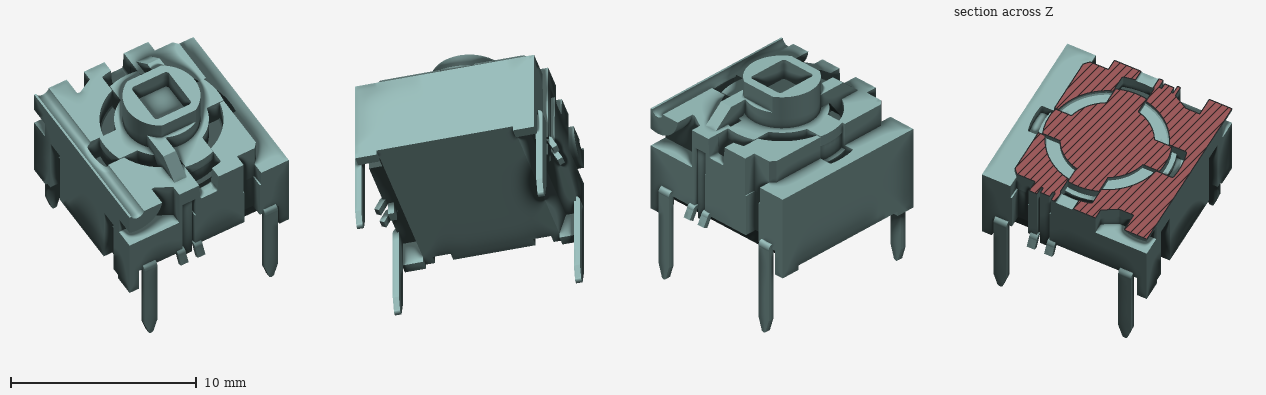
import cadquery as cq


body_size = 10.0
half = body_size / 2
body_top = 6.39
rear_step_z = 5.03
rear_step_y = 3.54
foot_height = 0.28
foot_x = 3.81
foot_y = 4.4
undercut_z = 1.51
base_top_x = 4.18

notch_depth = 0.7
notch_lower_depth = 0.74
notch_x = half - notch_depth
notch_y = (2.21, 3.18)
notch_wide_y = (2.16, 3.27)
ledge_z = 4.02
block_chamfer = (0.31, 0.27)

corner_y = -1.88
corner_slant_y = -2.77
corner_outer_x = 4.38
corner_inner_x = 3.88
roll_radius = 1.54
roll_z = 6.55
groove_radius = 0.4
groove_z = 6.46
roll_y = -4.49
front_slot_x = (2.3, 3.32)
front_slot_shelf_z = 2.51
front_slot_depth = 1.01
front_shelf_depth = 0.53

opening_radius = 3.34
opening_floor_chamfer = 0.07
opening_floor = 5.04
rotor_top = 6.43
rotor_radius = 2.56
wing_sides = (-0.6, 1.22)
wing_rim_radius = 3.59
wing_neck_radius = 3.53
wing_foot_radius = 3.8
wing_rim_z = 5.8
wing_foot_z = 4.79
wing_pocket_radius = 4.35
wing_pocket_sides = (-0.63, 1.24)
wing_pocket_floor = 4.42
wing_pocket_fillet = 0.1
window_floor = 5.21
window_y = (-0.59, 0.63)
window_taper = 0.07
window_fillet = 0.12

button_diameter = 4.2
button_top = 8.41
flat_bottom = 7.4
flat_distance = 1.81
socket_x = 2.6
socket_y = 2.3
socket_depth = 1.23
socket_fillet = 0.2

arm_y = (0.9, 1.67)
arm_bottom = 5.38
arm_gap_z = 6.56
arm_slope_start = 4.15
arm_slope_end = 2.99
arm_gap_x = 1.97
arm_overlap = 0.07
arm_gap_end_x = 2.81
overall_x = 10.95
slot_depth = 0.52
bar_recess = 0.17
slot_wide_y = (0.84, 1.66)
bar_y = (0.98, 1.57)
bar_bottom = 0.84
tab_y = ((0.52, bar_y[0]), (bar_y[1], 2.04))
tab_tip_x = overall_x / 2
tab_tip_z = 0.97
tab_bend_x = 5.21
tab_bend_z = 1.46
tab_top = 1.68
tab_root_x = 4.79
tab_arc_x = 0.06
tab_arc_z = 0.12

pin_tip_z = -3.88
pin_shoulder_z = -3.0
pin_y = 3.79
pin_width = 0.79
pin_outer_x = 5.24
pin_inner_x = 4.89
pin_top = 1.82
pin_bend_z = 1.46
pin_arc_x = 0.06
pin_arc_z = 0.11
pin_root_x = 4.49
pin_nose = 0.17
pin_nose_height = 0.17


def box(x, y, z):
    """Box between the limits given for each axis."""
    size = (x[1] - x[0], y[1] - y[0], z[1] - z[0])
    return cq.Workplane("XY").box(*size, centered=False).translate((x[0], y[0], z[0]))


def disc(radius, bottom, top):
    return cq.Workplane("XY").workplane(offset=bottom).circle(radius).extrude(top - bottom)


def prism_xz(outline, y):
    """Closed XZ wire swept along Y between the two limits."""
    return outline.close().extrude(y[0] - y[1]).translate((0, y[0], 0))


def both_sides(shape):
    """The shape and its mirror image in X."""
    return shape.union(shape.mirror("YZ"))


def half_turn(shape):
    """The shape and its copy turned half a turn about the button axis."""
    return shape.union(shape.rotate((0, 0, 0), (0, 0, 1), 180))


def quarter_turns(shape):
    ring = shape
    for turn in (90, 180, 270):
        ring = ring.union(shape.rotate((0, 0, 0), (0, 0, 1), turn))
    return ring


def raised_block_cut():
    """Material removed above the rear ledge, leaving chamfered block corners."""
    cut = (
        cq.Workplane("XY").workplane(offset=rear_step_z)
        .moveTo(-half, half)
        .lineTo(-half, notch_y[1])
        .lineTo(-notch_x, notch_y[1])
        .lineTo(-notch_x, rear_step_y - block_chamfer[1])
        .lineTo(-notch_x + block_chamfer[0], rear_step_y)
        .lineTo(0, rear_step_y)
        .lineTo(0, half)
        .close()
        .extrude(body_top - rear_step_z)
    )
    return both_sides(cut)


def side_notches():
    notch = box((-half, -half + notch_lower_depth), notch_y, (undercut_z, ledge_z))
    notch = notch.union(box((-half, -notch_x), notch_wide_y, (ledge_z, body_top)))
    return both_sides(notch)


def side_undercuts():
    """Overhang below each side wall, with the base leaning inward under it."""
    cut = (
        cq.Workplane("XZ")
        .moveTo(-half, undercut_z)
        .lineTo(-base_top_x, undercut_z)
        .lineTo(-foot_x, foot_height)
        .lineTo(-half, foot_height)
    )
    return both_sides(prism_xz(cut, (-foot_y, foot_y)))


def underside_recess():
    recess = box((-foot_x, foot_x), (-half, half), (0, foot_height))
    return recess.union(box((-half, half), (-foot_y, foot_y), (0, foot_height)))


def corner_recesses():
    """Front corner pockets, each leaving the end of the front roll standing."""
    pocket = (
        cq.Workplane("XY").workplane(offset=ledge_z)
        .moveTo(-half, corner_y)
        .lineTo(-corner_outer_x, corner_y)
        .lineTo(-corner_inner_x, corner_slant_y)
        .lineTo(-corner_inner_x, -half)
        .lineTo(-half, -half)
        .close()
        .extrude(body_top - ledge_z)
    )
    roll = cq.Workplane("YZ").center(roll_y, roll_z).circle(roll_radius).extrude(half, both=True)
    return both_sides(pocket).cut(roll)


def front_groove():
    return cq.Workplane("YZ").center(roll_y, groove_z).circle(groove_radius).extrude(half, both=True)


def front_slots():
    shelf = (-half, -half + front_shelf_depth)
    deep = (-half, -half + front_slot_depth)
    slot = box(front_slot_x, shelf, (0, front_slot_shelf_z))
    slot = slot.union(box(front_slot_x, deep, (front_slot_shelf_z, ledge_z)))
    return both_sides(slot)


def rotor_opening():
    """Round opening with a chamfered floor edge, four wing pockets and two side windows."""
    opening = disc(opening_radius, opening_floor, body_top)
    opening = opening.faces("<Z").chamfer(opening_floor_chamfer)
    pocket = box((0, half), wing_pocket_sides, (wing_pocket_floor, body_top))
    pocket = pocket.intersect(disc(wing_pocket_radius, wing_pocket_floor, body_top))
    pocket = pocket.edges("|Z and (not <X)").fillet(wing_pocket_fillet)
    window = (
        cq.Workplane("YZ")
        .moveTo(window_y[0], body_top)
        .lineTo(window_y[0] + window_taper, window_floor)
        .lineTo(window_y[1] - window_taper, window_floor)
        .lineTo(window_y[1], body_top)
        .close()
        .extrude(opening_radius - half)
        .translate((-opening_radius, 0, 0))
    )
    window = window.edges("|X and <Z").fillet(window_fillet)
    return opening.union(quarter_turns(pocket)).union(half_turn(window))


def terminal_slots():
    side = (-half, -half + slot_depth)
    slot = box(side, arm_y, (undercut_z, arm_bottom))
    return half_turn(slot.union(box(side, slot_wide_y, (ledge_z, arm_bottom))))


def wing():
    """One wing pointing along +X: wide rim, narrower neck and a low foot."""
    levels = (
        (wing_foot_radius, wing_pocket_floor, wing_foot_z),
        (wing_neck_radius, wing_foot_z, wing_rim_z),
        (wing_rim_radius, wing_rim_z, rotor_top),
    )
    tiers = disc(rotor_radius, wing_pocket_floor, rotor_top)
    for radius, bottom, top in levels:
        tiers = tiers.union(disc(radius, bottom, top))
    return tiers.intersect(box((0, half), wing_sides, (wing_pocket_floor, rotor_top)))


def button():
    shape = disc(button_diameter / 2, opening_floor, button_top)
    flat = box((flat_distance, half), (-half, half), (flat_bottom, button_top))
    socket = cq.Workplane("XY").workplane(offset=button_top - socket_depth)
    socket = socket.rect(socket_x, socket_y).extrude(socket_depth)
    socket = socket.edges("|Z").fillet(socket_fillet)
    return shape.cut(both_sides(flat)).cut(socket)


def contact_arms():
    arm = (
        cq.Workplane("XZ")
        .moveTo(-half, arm_bottom)
        .lineTo(-half, body_top)
        .lineTo(-arm_slope_start, body_top)
        .lineTo(-arm_slope_end, flat_bottom)
        .lineTo(0, flat_bottom)
        .lineTo(0, arm_gap_z)
        .lineTo(-arm_gap_x, arm_gap_z)
        .lineTo(-arm_gap_end_x, arm_bottom)
    )
    arm = prism_xz(arm, arm_y).cut(disc(button_diameter / 2 - arm_overlap, arm_gap_z, flat_bottom))
    return half_turn(arm)


def terminals():
    """Recessed vertical bar with a splayed tab on each side of it."""
    shape = box((-half + bar_recess, -half + slot_depth), bar_y, (bar_bottom, arm_bottom))
    lean = (tab_tip_x - tab_bend_x) / (tab_bend_z - tab_tip_z)
    heel_z = tab_tip_z - (tab_tip_x - tab_bend_x) * lean
    root_z = heel_z + (tab_bend_x - tab_root_x) / lean
    for limits in tab_y:
        tab = (
            cq.Workplane("XZ")
            .moveTo(-tab_root_x, tab_top)
            .lineTo(-half, tab_top)
            .threePointArc((-tab_bend_x + tab_arc_x, tab_bend_z + tab_arc_z), (-tab_bend_x, tab_bend_z))
            .lineTo(-tab_tip_x, tab_tip_z)
            .lineTo(-tab_bend_x, heel_z)
            .lineTo(-tab_root_x, root_z)
        )
        shape = shape.union(prism_xz(tab, limits))
    return half_turn(shape)


def pins():
    half_width = pin_width / 2
    nose_z = pin_tip_z + pin_nose_height
    side = (
        cq.Workplane("XZ")
        .moveTo(-pin_root_x, pin_top)
        .lineTo(-half, pin_top)
        .threePointArc((-pin_outer_x + pin_arc_x, pin_top - pin_arc_z), (-pin_outer_x, pin_bend_z))
        .lineTo(-pin_outer_x, pin_tip_z)
        .lineTo(-pin_inner_x, pin_tip_z)
        .lineTo(-pin_inner_x, undercut_z)
        .lineTo(-pin_root_x, undercut_z)
    )
    face = (
        cq.Workplane("YZ")
        .moveTo(-half_width, pin_top)
        .lineTo(-half_width, pin_shoulder_z)
        .lineTo(-pin_nose, nose_z)
        .threePointArc((0, pin_tip_z), (pin_nose, nose_z))
        .lineTo(half_width, pin_shoulder_z)
        .lineTo(half_width, pin_top)
        .close()
        .extrude(-body_size)
    )
    pin = prism_xz(side, (-half_width, half_width)).intersect(face)
    row = pin.translate((0, pin_y, 0)).union(pin.translate((0, -pin_y, 0)))
    return both_sides(row)


def housing():
    body = box((-half, half), (-half, half), (0, body_top))
    cuts = (
        raised_block_cut(),
        side_notches(),
        side_undercuts(),
        underside_recess(),
        corner_recesses(),
        front_groove(),
        front_slots(),
        rotor_opening(),
        terminal_slots(),
    )
    for cut in cuts:
        body = body.cut(cut)
    return body


rotor = disc(rotor_radius, opening_floor, rotor_top).union(quarter_turns(wing()))
result = housing().union(rotor).union(button()).union(contact_arms()).union(terminals()).union(pins())